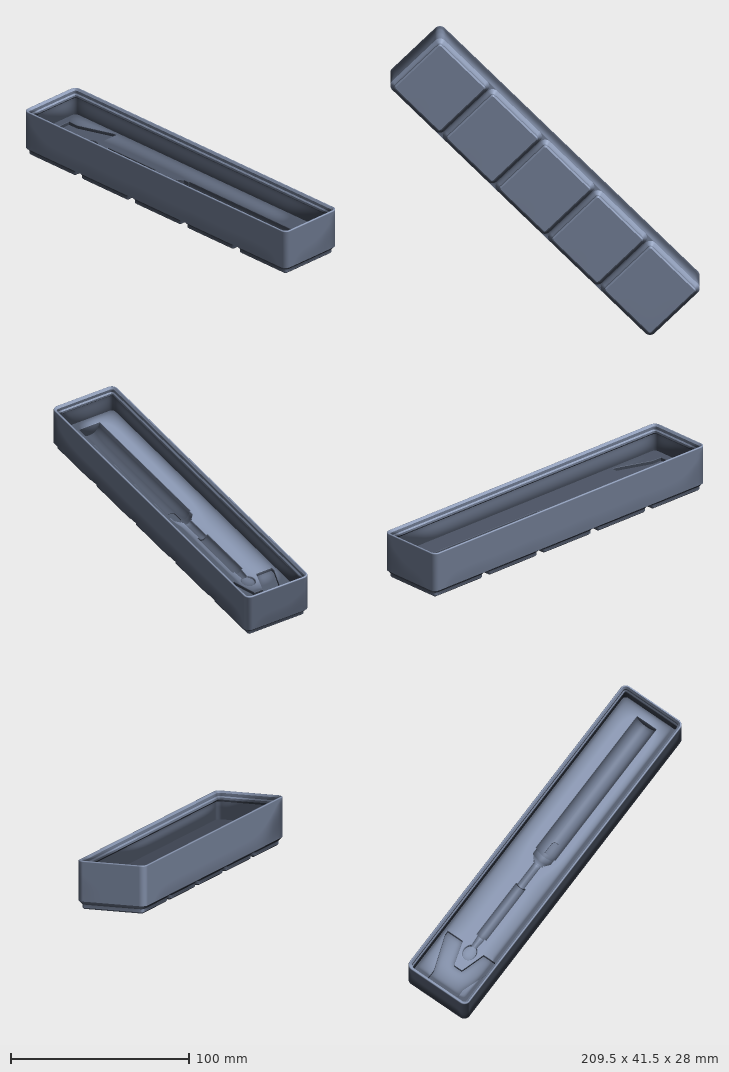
import cadquery as cq
import math

CELL_PITCH = 42.0
CELL_COUNT = 5
CLEARANCE = 0.5
BIN_LENGTH = CELL_COUNT * CELL_PITCH - CLEARANCE
BIN_WIDTH = CELL_PITCH - CLEARANCE
BIN_HEIGHT = 28.0
CORNER_RADIUS = 3.75

FOOT_LOWER_CHAMFER = 0.8
FOOT_STRAIGHT = 1.8
FOOT_UPPER_CHAMFER = 2.15
FOOT_HEIGHT = FOOT_LOWER_CHAMFER + FOOT_STRAIGHT + FOOT_UPPER_CHAMFER

LIP_LOWER_CHAMFER = 0.7
LIP_STRAIGHT = 1.8
LIP_UPPER_CHAMFER = 1.9
LIP_DEPTH = LIP_LOWER_CHAMFER + LIP_UPPER_CHAMFER
LIP_SUPPORT_HEIGHT = 1.2
WALL = 1.2
RIM_RADIUS = 0.6
FLOOR_Z = 11.6

KNIFE_EDGE_ANGLE = 45.0
RIM_CENTER_Z = BIN_HEIGHT - RIM_RADIUS
KNIFE_EDGE_Z = RIM_CENTER_Z + RIM_RADIUS / math.tan(math.radians(KNIFE_EDGE_ANGLE / 2))
LIP_BAND_TOP_Z = KNIFE_EDGE_Z - LIP_UPPER_CHAMFER
LIP_BAND_BOTTOM_Z = LIP_BAND_TOP_Z - LIP_STRAIGHT
LIP_LEDGE_Z = LIP_BAND_BOTTOM_Z - LIP_LOWER_CHAMFER
LIP_SUPPORT_Z = LIP_LEDGE_Z - LIP_SUPPORT_HEIGHT
UNDERCUT_Z = LIP_SUPPORT_Z - (LIP_DEPTH - WALL)

RECESS_CHAMFER = 0.2

NECK_START_X = -68.2
NECK_START_RADIUS = 1.7
SLEEVE_START_X = -61.0
NECK_END_RADIUS = 2.3
SLEEVE_RADIUS = 3.3
SLEEVE_END_X = -23.3
SHAFT_RADIUS = 2.3
FERRULE_START_X = -7.1
FERRULE_RADIUS = 3.1
CONE_START_X = -5.9
CONE_START_RADIUS = 3.6
CONE_END_X = -3.1
COLLAR_RADIUS = 6.0
HANDLE_START_X = 0.4
HANDLE_RADIUS = 6.7
HANDLE_END_X = 97.5

TIP_X = -72.3
TIP_HALF_LENGTH = 4.9
TIP_HALF_WIDTH = 4.0
TIP_WALL_RUN = 0.5
TIP_DEPTH = 1.0

SLOT_START_X = 2.8
SLOT_END_X = 11.5
SLOT_WIDTH = 4.5
SLOT_DEPTH = HANDLE_RADIUS + 0.3

WEDGE_DEPTH = 2.0
WEDGE_NARROW_X = -99.0
WEDGE_FLARE_START_X = -92.7
WEDGE_FLARE_END_X = -71.5
WEDGE_WIDE_X = -69.0
WEDGE_NARROW_HALF_WIDTH = 10.0
WEDGE_WIDE_HALF_WIDTH = 17.5
NOTCH_TIP_X = -83.6
NOTCH_TIP_HALF_WIDTH = 2.8
NOTCH_MOUTH_HALF_WIDTH = 7.3


def outline(length, inset):
    """Rounded rectangle, moved in evenly from the full-size outline of that length."""
    return (
        cq.Sketch()
        .rect(length - 2 * inset, BIN_WIDTH - 2 * inset)
        .vertices()
        .fillet(CORNER_RADIUS - inset)
    )


def layer(length, bottom_z, bottom_inset, top_z, top_inset):
    """Solid between two heights whose rounded outline may be inset differently at each."""
    top_shift = cq.Location(cq.Vector(0, 0, top_z - bottom_z))
    return (
        cq.Workplane("XY", origin=(0, 0, bottom_z))
        .placeSketch(outline(length, bottom_inset), outline(length, top_inset).moved(top_shift))
        .loft(ruled=True)
    )


def foot(center_x):
    """One stepped foot that plugs into a base plate cell."""
    band_inset = FOOT_UPPER_CHAMFER
    band_bottom = FOOT_LOWER_CHAMFER
    band_top = band_bottom + FOOT_STRAIGHT
    return (
        layer(BIN_WIDTH, 0, band_inset + FOOT_LOWER_CHAMFER, band_bottom, band_inset)
        .union(layer(BIN_WIDTH, band_bottom, band_inset, band_top, band_inset))
        .union(layer(BIN_WIDTH, band_top, band_inset, FOOT_HEIGHT, 0))
        .translate((center_x, 0, 0))
    )


def bin_block():
    """Solid bin on its row of feet, with the outer half of the rim rounded."""
    block = layer(BIN_LENGTH, FOOT_HEIGHT, 0, BIN_HEIGHT, 0)
    block = block.faces(">Z").edges().fillet(RIM_RADIUS)
    for index in range(CELL_COUNT):
        center_x = (index - (CELL_COUNT - 1) / 2) * CELL_PITCH
        block = block.union(foot(center_x))
    return block


def cavity():
    """Open space above the floor, narrowed under the stacking lip and flared through it."""
    band_inset = LIP_UPPER_CHAMFER
    return (
        layer(BIN_LENGTH, FLOOR_Z, WALL, UNDERCUT_Z, WALL)
        .union(layer(BIN_LENGTH, UNDERCUT_Z, WALL, LIP_SUPPORT_Z, LIP_DEPTH))
        .union(layer(BIN_LENGTH, LIP_SUPPORT_Z, LIP_DEPTH, LIP_LEDGE_Z, LIP_DEPTH))
        .union(layer(BIN_LENGTH, LIP_LEDGE_Z, LIP_DEPTH, LIP_BAND_BOTTOM_Z, band_inset))
        .union(layer(BIN_LENGTH, LIP_BAND_BOTTOM_Z, band_inset, LIP_BAND_TOP_Z, band_inset))
        .union(layer(BIN_LENGTH, LIP_BAND_TOP_Z, band_inset, KNIFE_EDGE_Z, 0))
    )


def turned_tool():
    """Neck, sleeve, shaft, ferrule, cone, collar and handle turned about the X axis."""
    profile = [
        (NECK_START_X, 0),
        (NECK_START_X, NECK_START_RADIUS),
        (SLEEVE_START_X, NECK_END_RADIUS),
        (SLEEVE_START_X, SLEEVE_RADIUS),
        (SLEEVE_END_X, SLEEVE_RADIUS),
        (SLEEVE_END_X, SHAFT_RADIUS),
        (FERRULE_START_X, SHAFT_RADIUS),
        (FERRULE_START_X, FERRULE_RADIUS),
        (CONE_START_X, FERRULE_RADIUS),
        (CONE_START_X, CONE_START_RADIUS),
        (CONE_END_X, COLLAR_RADIUS),
        (HANDLE_START_X, COLLAR_RADIUS),
        (HANDLE_START_X, HANDLE_RADIUS),
        (HANDLE_END_X, HANDLE_RADIUS),
        (HANDLE_END_X, 0),
    ]
    tool = cq.Workplane("XY").polyline(profile).close().revolve(360, (0, 0, 0), (1, 0, 0))
    return tool.translate((0, 0, FLOOR_Z))


def tip_recess():
    """Oval recess that narrows to a flat floor."""
    return (
        cq.Workplane("XY", origin=(TIP_X, 0, FLOOR_Z))
        .ellipse(TIP_HALF_LENGTH, TIP_HALF_WIDTH)
        .workplane(offset=-TIP_DEPTH)
        .ellipse(TIP_HALF_LENGTH - TIP_WALL_RUN, TIP_HALF_WIDTH - TIP_WALL_RUN)
        .loft(ruled=True)
    )


def handle_slot():
    """Flat-bottomed slot under the handle, square at one end and round at the other."""
    radius = SLOT_WIDTH / 2
    round_center_x = SLOT_END_X - radius
    return (
        cq.Workplane("XY", origin=(0, 0, FLOOR_Z))
        .moveTo(SLOT_START_X, -radius)
        .lineTo(round_center_x, -radius)
        .threePointArc((SLOT_END_X, 0), (round_center_x, radius))
        .lineTo(SLOT_START_X, radius)
        .close()
        .extrude(-SLOT_DEPTH)
    )


def wedge_recess():
    """Flat recess that widens along X, with a tapered notch in its wide end."""
    upper_half = [
        (WEDGE_NARROW_X, WEDGE_NARROW_HALF_WIDTH),
        (WEDGE_FLARE_START_X, WEDGE_NARROW_HALF_WIDTH),
        (WEDGE_FLARE_END_X, WEDGE_WIDE_HALF_WIDTH),
        (WEDGE_WIDE_X, WEDGE_WIDE_HALF_WIDTH),
        (WEDGE_WIDE_X, NOTCH_MOUTH_HALF_WIDTH),
        (NOTCH_TIP_X, NOTCH_TIP_HALF_WIDTH),
    ]
    lower_half = [(x, -y) for x, y in reversed(upper_half)]
    return (
        cq.Workplane("XY", origin=(0, 0, FLOOR_Z))
        .polyline(upper_half + lower_half)
        .close()
        .extrude(-WEDGE_DEPTH)
    )


def recess_rims(part):
    """Edges where the recesses meet the floor, without the floor's own boundary."""
    reach_x = BIN_LENGTH / 2 - LIP_DEPTH
    reach_y = BIN_WIDTH / 2 - LIP_DEPTH
    reach_z = RECESS_CHAMFER / 10
    lower_corner = (-reach_x, -reach_y, FLOOR_Z - reach_z)
    upper_corner = (reach_x, reach_y, FLOOR_Z + reach_z)
    return part.edges(cq.selectors.BoxSelector(lower_corner, upper_corner))


pocketed_bin = (
    bin_block()
    .cut(cavity())
    .cut(turned_tool())
    .cut(tip_recess())
    .cut(handle_slot())
    .cut(wedge_recess())
)

result = recess_rims(pocketed_bin).chamfer(RECESS_CHAMFER)